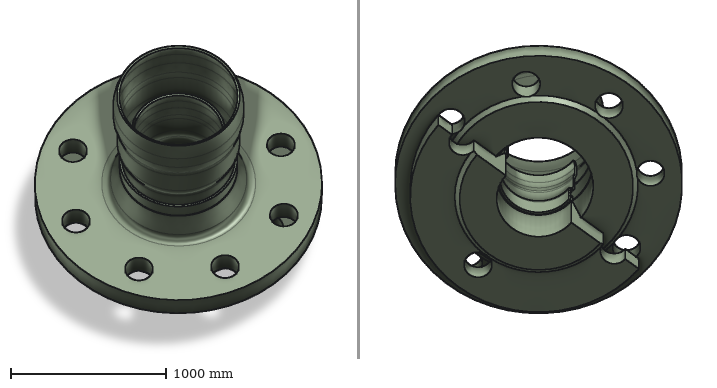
import cadquery as cq
import math

FULL_TURN = 360
HALF_TURN = 180

PLATE_THICKNESS = 148
RAISED_FACE_HEIGHT = 31.0
BOLT_HOLE_DIAMETER = 180.0

LARGE_BASE_Z = PLATE_THICKNESS + RAISED_FACE_HEIGHT
LARGE_PLATE_TOP_Z = LARGE_BASE_Z + RAISED_FACE_HEIGHT + PLATE_THICKNESS
LARGE_FLANGE_RADIUS = 925
LARGE_RAISED_RADIUS = 640.0
LARGE_FLANGE_BORE_RADIUS = 703 / 2
LARGE_BOLT_CIRCLE_RADIUS = 725.0
LARGE_BOLT_COUNT = 8
LARGE_NECK_FILLET_RADIUS = 495.0
LARGE_CONE_FOOT_RADIUS = 438.0
LARGE_CONE_FOOT_Z = 405.0
LARGE_NECK_TOP_Z = 527.0
LARGE_COLLAR_RADIUS = 760.0 / 2
LARGE_LAND_HEIGHT = 5.0
LARGE_COLLAR_Z = LARGE_NECK_TOP_Z + LARGE_LAND_HEIGHT
LARGE_COLLAR_HEIGHT = 98.0
LARGE_RIM_Z = 1330.0
LARGE_TAIL_HEIGHT = LARGE_RIM_Z - LARGE_COLLAR_Z
LARGE_STEM_RADIUS = 730.0 / 2
LARGE_BODY_RADIUS = 792.0 / 2
LARGE_BULGE_RADIUS = 842.0 / 2
LARGE_TAIL_BORE_RADIUS = 697.0 / 2
LARGE_TAIL_WALL = LARGE_STEM_RADIUS - LARGE_TAIL_BORE_RADIUS

SMALL_PLATE_TOP_Z = RAISED_FACE_HEIGHT + PLATE_THICKNESS
SMALL_FLANGE_RADIUS = 827.0
SMALL_RAISED_RADIUS = 540.0
SMALL_FLANGE_BORE_RADIUS = 270.0
SMALL_BOLT_CIRCLE_RADIUS = 1249.0 / 2
SMALL_BOLT_COUNT = 4
SMALL_CONE_FOOT_RADIUS = 348.0
SMALL_NECK_TOP_Z = 315
SMALL_NECK_TOP_RADIUS = 281.0
SMALL_COLLAR_RADIUS = SMALL_NECK_TOP_RADIUS
SMALL_COLLAR_HEIGHT = 75.0
SMALL_RIM_Z = 932.0
SMALL_TAIL_HEIGHT = SMALL_RIM_Z - SMALL_NECK_TOP_Z
SMALL_STEM_RADIUS = 265.0
SMALL_BODY_RADIUS = 300.0
SMALL_BULGE_RADIUS = 315
SMALL_TAIL_WALL = 15.0

BULGE_TOP_DROP = 105.0
BULGE_BOTTOM_DROP = 202.0
BULGE_BEND_DROP = 289.0
BODY_TOP_DROP = 330.0
BODY_BOTTOM_DROP = 495.0
STEM_BEND_DROP = 565.0
STEM_TOP_DROP = 601.0


def revolve(profile, turn):
    return profile.close().revolve(turn, (0, 0), (0, 1))


def raised_plate(bore, raised, outer, base_z):
    """Start a flange profile: bore edge, bevelled raised face, plate underside and rim."""
    plate_z = base_z + RAISED_FACE_HEIGHT
    return (
        cq.Workplane("XZ")
        .moveTo(bore, base_z)
        .lineTo(raised - RAISED_FACE_HEIGHT, base_z)
        .lineTo(raised, plate_z)
        .lineTo(outer, plate_z)
        .lineTo(outer, plate_z + PLATE_THICKNESS)
    )


def drill_bolt_holes(flange, circle_radius, count):
    holes = (
        cq.Workplane("XY")
        .polarArray(circle_radius, 0, FULL_TURN, count)
        .circle(BOLT_HOLE_DIAMETER / 2)
        .extrude(LARGE_PLATE_TOP_Z)
    )
    return flange.cut(holes)


def make_large_flange():
    profile = (
        raised_plate(LARGE_FLANGE_BORE_RADIUS, LARGE_RAISED_RADIUS, LARGE_FLANGE_RADIUS, LARGE_BASE_Z)
        .lineTo(LARGE_NECK_FILLET_RADIUS, LARGE_PLATE_TOP_Z)
        .tangentArcPoint((LARGE_CONE_FOOT_RADIUS, LARGE_CONE_FOOT_Z), relative=False)
        .lineTo(LARGE_COLLAR_RADIUS, LARGE_NECK_TOP_Z)
        .lineTo(LARGE_COLLAR_RADIUS, LARGE_COLLAR_Z)
        .lineTo(LARGE_FLANGE_BORE_RADIUS, LARGE_COLLAR_Z)
    )
    flange = revolve(profile, FULL_TURN)
    return drill_bolt_holes(flange, LARGE_BOLT_CIRCLE_RADIUS, LARGE_BOLT_COUNT)


def make_small_half_flange():
    profile = (
        raised_plate(SMALL_FLANGE_BORE_RADIUS, SMALL_RAISED_RADIUS, SMALL_FLANGE_RADIUS, 0)
        .lineTo(SMALL_CONE_FOOT_RADIUS, SMALL_PLATE_TOP_Z)
        .lineTo(SMALL_NECK_TOP_RADIUS, SMALL_NECK_TOP_Z)
        .lineTo(SMALL_FLANGE_BORE_RADIUS, SMALL_NECK_TOP_Z)
    )
    flange = revolve(profile, HALF_TURN)
    return drill_bolt_holes(flange, SMALL_BOLT_CIRCLE_RADIUS, SMALL_BOLT_COUNT)


def make_collar(inner, outer, base_z, height, turn):
    profile = (
        cq.Workplane("XZ")
        .moveTo(inner, base_z)
        .lineTo(outer, base_z)
        .lineTo(outer, base_z + height)
        .lineTo(inner, base_z + height)
    )
    return revolve(profile, turn)


def arc_lean(start, end):
    """Tilt at the end of an arc that leaves its start vertically."""
    return 2 * math.atan2(start[0] - end[0], end[1] - start[1])


def arc_middle(start, end):
    """Middle of an arc that leaves its start vertically."""
    lean = arc_lean(start, end)
    arc_radius = (end[1] - start[1]) / math.sin(lean)
    return (
        start[0] - arc_radius * (1 - math.cos(lean / 2)),
        start[1] + arc_radius * math.sin(lean / 2),
    )


def point_between(start, end, z):
    """Point at height z on the straight line from start to end."""
    share = (z - start[1]) / (end[1] - start[1])
    return start[0] + share * (end[0] - start[0]), z


def make_hose_tail(stem, body, bulge, wall, base_z, height, turn):
    """Thin tube with a stem, a wider body and a rounded bulge below the rim."""
    stretch = height / LARGE_TAIL_HEIGHT
    rim_z = base_z + height

    def level(drop):
        return rim_z - drop * stretch

    base = (stem, base_z)
    stem_top = (stem, level(STEM_TOP_DROP))
    body_bottom = (body, level(BODY_BOTTOM_DROP))
    stem_bend = point_between(stem_top, body_bottom, level(STEM_BEND_DROP))
    body_top = (body, level(BODY_TOP_DROP))
    bulge_bottom = (bulge, level(BULGE_BOTTOM_DROP))
    bulge_bend = point_between(body_top, bulge_bottom, level(BULGE_BEND_DROP))
    bulge_top = (bulge, level(BULGE_TOP_DROP))
    rim = (body, rim_z)

    def inside(point, lean=0):
        """Inner point facing an outer one, where lean is the tilt of the wall off vertical."""
        radius, z = point
        return radius - wall * math.cos(lean), z - wall * math.sin(lean)

    stem_lean = arc_lean(stem_top, stem_bend)
    bulge_lean = arc_lean(body_top, bulge_bend)
    rim_lean = arc_lean(bulge_top, rim)

    profile = (
        cq.Workplane("XZ")
        .moveTo(*base)
        .lineTo(*stem_top)
        .tangentArcPoint(stem_bend, relative=False)
        .tangentArcPoint(body_bottom, relative=False)
        .lineTo(*body_top)
        .tangentArcPoint(bulge_bend, relative=False)
        .tangentArcPoint(bulge_bottom, relative=False)
        .lineTo(*bulge_top)
        .tangentArcPoint(rim, relative=False)
        .lineTo(*inside(rim, rim_lean))
        .threePointArc(inside(arc_middle(bulge_top, rim), rim_lean / 2), inside(bulge_top))
        .lineTo(*inside(bulge_bottom))
        .tangentArcPoint(inside(bulge_bend, bulge_lean), relative=False)
        .tangentArcPoint(inside(body_top), relative=False)
        .lineTo(*inside(body_bottom))
        .tangentArcPoint(inside(stem_bend, stem_lean), relative=False)
        .tangentArcPoint(inside(stem_top), relative=False)
        .lineTo(*inside(base))
    )
    return revolve(profile, turn)


large_flange = make_large_flange()
large_collar = make_collar(
    LARGE_STEM_RADIUS, LARGE_COLLAR_RADIUS, LARGE_COLLAR_Z, LARGE_COLLAR_HEIGHT, FULL_TURN
)
large_tail = make_hose_tail(
    LARGE_STEM_RADIUS, LARGE_BODY_RADIUS, LARGE_BULGE_RADIUS, LARGE_TAIL_WALL,
    LARGE_COLLAR_Z, LARGE_TAIL_HEIGHT, FULL_TURN,
)
small_flange = make_small_half_flange()
small_collar = make_collar(
    SMALL_STEM_RADIUS, SMALL_COLLAR_RADIUS, SMALL_NECK_TOP_Z, SMALL_COLLAR_HEIGHT, HALF_TURN
)
small_tail = make_hose_tail(
    SMALL_STEM_RADIUS, SMALL_BODY_RADIUS, SMALL_BULGE_RADIUS, SMALL_TAIL_WALL,
    SMALL_NECK_TOP_Z, SMALL_TAIL_HEIGHT, HALF_TURN,
)

result = cq.Compound.makeCompound([
    large_flange.val(),
    large_collar.val(),
    large_tail.val(),
    small_flange.val(),
    small_collar.val(),
    small_tail.val(),
])